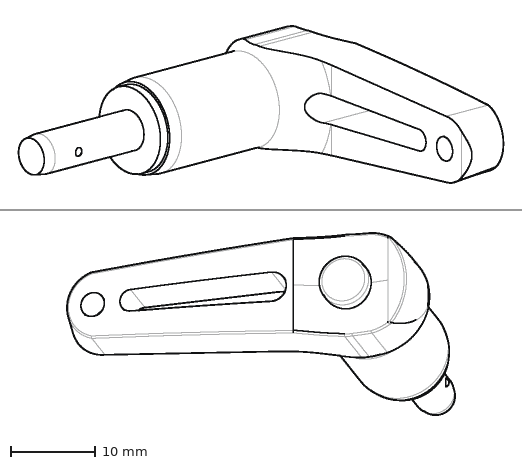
import cadquery as cq
import math

TOTAL_LENGTH = 47.6

PIN_RADIUS = 2.48
PIN_TIP_RADIUS = 2.25
PIN_TIP_LENGTH = 1.5
BALL_RADIUS = 0.55
BALL_REACH = 2.75
BALL_Y = 5.4

COLLAR_RADIUS = 5.35
COLLAR_START_Y = 16.0
TAPER_START_Y = 17.2
TAPER_START_RADIUS = 5.65
BARREL_START_Y = 18.85
BARREL_RADIUS = 5.9
FLARE_START_Y = 34.75
FLARE_RADIUS = 4.4
FLARE_TOP_Y = FLARE_START_Y + FLARE_RADIUS
FLARE_OUTER_RADIUS = BARREL_RADIUS + FLARE_RADIUS

BUTTON_RADIUS = 3.0
BUTTON_BASE_Y = 40.45
BUTTON_ROUND = 0.4

HEAD_END_X = -8.43
HEAD_END_RADIUS = 6.3
HEAD_ARC_END_X = -3.0
HEAD_HALF_WIDTH = 6.35
CROWN_START_X = -0.55
CROWN_END_X = 0.4
CROWN_HEIGHT = 0.025
TIP_CENTER_X = 31.35
TIP_END_X = 35.45
TIP_HALF_WIDTH = 4.1
HEAD_CENTER_X = HEAD_END_X + HEAD_END_RADIUS

HEAD_TOP_Y = 46.25
HEAD_FLAT_END_X = -5.15
DIP_Y = 45.5
DIP_START_TANGENT = (1, -0.25)
DIP_END_TANGENT = (1, 0.35)
PEAK_X = 6.25
PEAK_Y = 47.0
BACK_MIDDLE = (20.95, 46.12)
TIP_TOP_Y = 44.4
TIP_BOTTOM_Y = 37.8
RIM_MIN_Y = 44.25
EDGE_ROUND = 0.25
TIP_ROUND = 1.2

DRAFT_SLOPE = 0.15
HEAD_DRAFT_START_Y = 38.9
HEAD_FACE_RADIUS = 8.55

SLOT_START_X = 7.1
SLOT_END_X = 27.75
SLOT_START_RADIUS = 1.8
SLOT_END_RADIUS = 1.35
HOLE_X = 31.2
HOLE_RADIUS = 1.48

CUT_BASE_Y = 28.55
CUT_HEIGHT = 23.8


def plane_at(y):
    """XZ plane at height y; a negative extrusion depth runs toward +Y."""
    return cq.Workplane("XZ", origin=(0, y, 0))


def spindle():
    """Pin, collar, barrel and flare turned about the Y axis."""
    diagonal = FLARE_RADIUS * math.sqrt(0.5)
    flare_middle = (FLARE_OUTER_RADIUS - diagonal, FLARE_START_Y + diagonal)
    return (
        cq.Workplane("XY")
        .lineTo(PIN_TIP_RADIUS, 0)
        .lineTo(PIN_RADIUS, PIN_TIP_LENGTH)
        .lineTo(PIN_RADIUS, COLLAR_START_Y)
        .lineTo(COLLAR_RADIUS, COLLAR_START_Y)
        .lineTo(COLLAR_RADIUS, TAPER_START_Y)
        .lineTo(TAPER_START_RADIUS, TAPER_START_Y)
        .lineTo(BARREL_RADIUS, BARREL_START_Y)
        .lineTo(BARREL_RADIUS, FLARE_START_Y)
        .threePointArc(flare_middle, (FLARE_OUTER_RADIUS, FLARE_TOP_Y))
        .lineTo(0, FLARE_TOP_Y)
        .close()
        .revolve(360, (0, 0, 0), (0, 1, 0))
    )


def plan_prism():
    """Plan outline of the lever, extruded along Y."""
    arc_z = math.sqrt(HEAD_END_RADIUS**2 - (HEAD_ARC_END_X - HEAD_CENTER_X) ** 2)
    crown_edge_z = HEAD_HALF_WIDTH - CROWN_HEIGHT
    crown_middle_x = (CROWN_START_X + CROWN_END_X) / 2
    return (
        plane_at(CUT_BASE_Y)
        .moveTo(HEAD_ARC_END_X, arc_z)
        .lineTo(CROWN_START_X, crown_edge_z)
        .threePointArc((crown_middle_x, HEAD_HALF_WIDTH), (CROWN_END_X, crown_edge_z))
        .lineTo(TIP_CENTER_X, TIP_HALF_WIDTH)
        .threePointArc((TIP_END_X, 0), (TIP_CENTER_X, -TIP_HALF_WIDTH))
        .lineTo(CROWN_END_X, -crown_edge_z)
        .threePointArc((crown_middle_x, -HEAD_HALF_WIDTH), (CROWN_START_X, -crown_edge_z))
        .lineTo(HEAD_ARC_END_X, -arc_z)
        .threePointArc((HEAD_END_X, 0), (HEAD_ARC_END_X, arc_z))
        .close()
        .extrude(-CUT_HEIGHT)
    )


def side_prism():
    """Side profile of the lever, extruded across Z."""
    round_inset = TIP_ROUND * (1 - math.sqrt(0.5))
    tip_round_middle = (TIP_END_X - round_inset, TIP_BOTTOM_Y + round_inset)
    return (
        cq.Workplane("XY")
        .moveTo(HEAD_END_X, FLARE_TOP_Y)
        .lineTo(HEAD_END_X, HEAD_TOP_Y)
        .lineTo(HEAD_FLAT_END_X, HEAD_TOP_Y)
        .spline(
            [(0, DIP_Y), (PEAK_X, PEAK_Y)],
            tangents=[DIP_START_TANGENT, DIP_END_TANGENT],
            includeCurrent=True,
        )
        .threePointArc(BACK_MIDDLE, (TIP_END_X, TIP_TOP_Y))
        .lineTo(TIP_END_X, TIP_BOTTOM_Y + TIP_ROUND)
        .threePointArc(tip_round_middle, (TIP_END_X - TIP_ROUND, TIP_BOTTOM_Y))
        .lineTo(FLARE_OUTER_RADIUS, FLARE_TOP_Y)
        .close()
        .extrude(HEAD_FACE_RADIUS, both=True)
    )


def drafted_bounds():
    """Leaning envelope that drafts the head end and the tip of the lever."""

    def end_section(y):
        end_x = HEAD_END_X + DRAFT_SLOPE * (y - HEAD_DRAFT_START_Y)
        tip_x = TIP_END_X - DRAFT_SLOPE * (y - TIP_BOTTOM_Y)
        center_x = end_x + HEAD_FACE_RADIUS
        return (
            plane_at(y)
            .moveTo(center_x, HEAD_FACE_RADIUS)
            .lineTo(TIP_CENTER_X, HEAD_FACE_RADIUS)
            .lineTo(TIP_CENTER_X, TIP_HALF_WIDTH)
            .threePointArc((tip_x, 0), (TIP_CENTER_X, -TIP_HALF_WIDTH))
            .lineTo(TIP_CENTER_X, -HEAD_FACE_RADIUS)
            .lineTo(center_x, -HEAD_FACE_RADIUS)
            .threePointArc((end_x, 0), (center_x, HEAD_FACE_RADIUS))
            .close()
            .wires()
            .val()
        )

    sections = [end_section(y) for y in (TIP_BOTTOM_Y, TOTAL_LENGTH)]
    return cq.Workplane(cq.Solid.makeLoft(sections, True))


def slot():
    """Tapering slot with round ends."""
    start_x = SLOT_START_X + SLOT_START_RADIUS
    end_x = SLOT_END_X - SLOT_END_RADIUS
    return (
        plane_at(CUT_BASE_Y)
        .moveTo(start_x, SLOT_START_RADIUS)
        .lineTo(end_x, SLOT_END_RADIUS)
        .threePointArc((SLOT_END_X, 0), (end_x, -SLOT_END_RADIUS))
        .lineTo(start_x, -SLOT_START_RADIUS)
        .threePointArc((SLOT_START_X, 0), (start_x, SLOT_START_RADIUS))
        .close()
        .extrude(-CUT_HEIGHT)
    )


def round_upper_rim(arm):
    """Round the outer rim of the upper faces, leaving the seams between those faces alone."""
    upper_faces = [face for face in arm.faces().vals() if face.BoundingBox().ymin > RIM_MIN_Y]
    edges = [edge for face in upper_faces for edge in face.Edges()]
    rim = [edge for edge in edges if sum(edge.isSame(other) for other in edges) == 1]
    return arm.newObject(rim).fillet(EDGE_ROUND)


def lever():
    """Drafted lever arm with its upper rim rounded."""
    blank = side_prism().intersect(plan_prism()).intersect(drafted_bounds())
    return round_upper_rim(blank)


def push_button():
    """Button standing out of the dip above the barrel."""
    return (
        plane_at(BUTTON_BASE_Y)
        .circle(BUTTON_RADIUS)
        .extrude(BUTTON_BASE_Y - TOTAL_LENGTH)
        .faces(">Y")
        .edges()
        .fillet(BUTTON_ROUND)
    )


def locking_ball(side):
    """Ball standing out of the pin on one side of the axis."""
    return cq.Workplane("XY", origin=(side * (BALL_REACH - BALL_RADIUS), BALL_Y, 0)).sphere(BALL_RADIUS)


def neck():
    """Turned spindle with the flare trimmed to the plan outline of the lever."""
    barrel_core = plane_at(0).circle(BARREL_RADIUS).extrude(-FLARE_TOP_Y)
    return spindle().intersect(plan_prism().union(barrel_core))


def hanging_hole():
    """Round hole through the lever tip."""
    return plane_at(CUT_BASE_Y).center(HOLE_X, 0).circle(HOLE_RADIUS).extrude(-CUT_HEIGHT)


result = lever().union(neck()).cut(slot()).cut(hanging_hole()).union(push_button())
for side in (-1, 1):
    result = result.union(locking_ball(side))